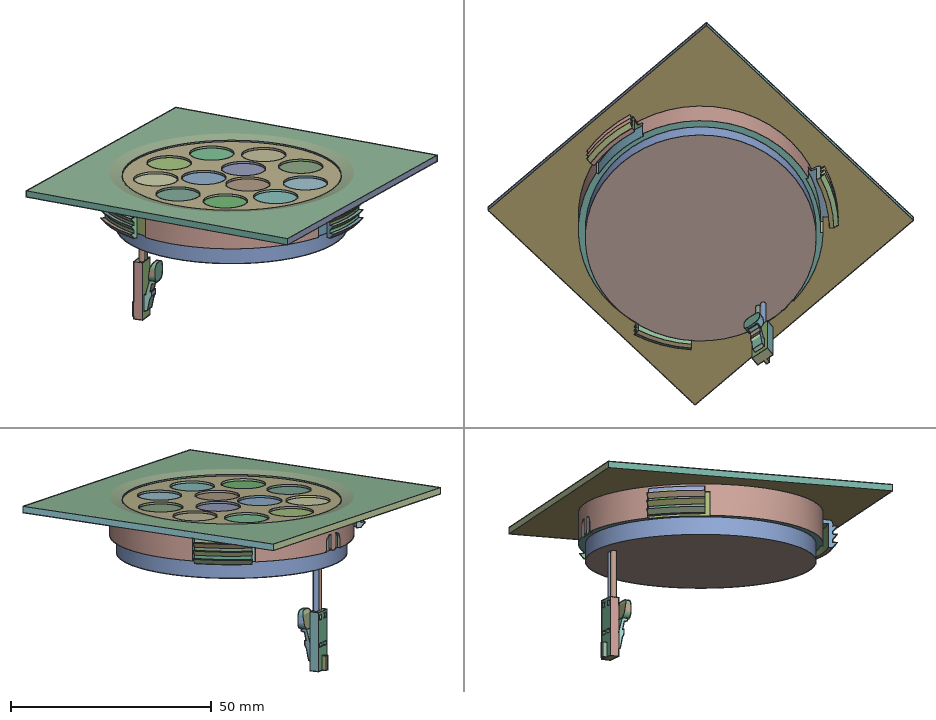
import cadquery as cq
PLATE_SIDE = 75
PLATE_THICKNESS = 1.65
OVERALL_HEIGHT = 41.3

HOUSING_RADIUS = 61.0 / 2
HOUSING_BOTTOM = -9.7
BASE_RADIUS = 57.5 / 2
BASE_BOTTOM = -14.2

RECESS_FLOOR_RADIUS = 54.6 / 2
CONE_DEPTH = 0.6
RECESS_DEPTH = 1.0
LENS_DIAMETER = 11.0
LENS_DEPTH = 0.5
LENS_START_ANGLE = 95
INNER_RING_RADIUS = 7.0
INNER_RING_COUNT = 3
OUTER_RING_RADIUS = 19.0
OUTER_RING_COUNT = 9

CLIP_COUNT = 3
CLIP_SWEEP = 25
CLIP_TOP = -2.6
CLIP_UNDERSIDE = -3.6
CLIP_ROOT_RADIUS = 29.8
CLIP_INNER_RADIUS = 32.0
CLIP_OUTER_RADIUS = 33.15
CLIP_CORNER_RADIUS = 1.05
TOOTH_TIP_RADIUS = 34.3
TOOTH_HEIGHT = 1.3
TOOTH_TOPS = (-4.2, -6.2, -8.3)
RELIEF_SWEEP = 30
RELIEF_FLOOR_RADIUS = 29.85

ARCH_WIDTH = 6.1
ARCH_TOP = -5.5
ARCH_CORNER_RADIUS = 1.9
TONGUE_WIDTH = 2.25
TONGUE_CORNER_RADIUS = 1.0

CONNECTOR_X = -24.6
CONNECTOR_Y = -2.1
CONNECTOR_TURN = 7
CONNECTOR_DEPTH = 2.4
CONNECTOR_WIDTH = 4.8
CONNECTOR_HEIGHT = 15.1
CONNECTOR_BOTTOM = -OVERALL_HEIGHT
CONNECTOR_TOP = CONNECTOR_BOTTOM + CONNECTOR_HEIGHT

WIRE_DIAMETER = 1.5
WIRE_OFFSET_X = 0.45
WIRE_OFFSET_Y = -0.2
WIRE_INSERTION = 2.25

WINDOW_DEPTH = 1.1
UPPER_WINDOW_WIDTH = 1.0
UPPER_WINDOW_HEIGHT = 1.3
UPPER_WINDOW_SPACING = 2.55
UPPER_WINDOW_DROP = 1.35
LOWER_WINDOW_WIDTH = 1.3
LOWER_WINDOW_HEIGHT = 1.0
LOWER_WINDOW_SPACING = 2.25
LOWER_WINDOW_DROP = 8.5
RIB_WIDTH = 1.0
RIB_HEIGHT = 3.75
RIB_PROJECTION = 1.1

LEVER_WIDTH = 2.85
PAD_WIDTH = CONNECTOR_WIDTH
PAD_HEIGHT = 4.9
PAD_PROJECTION = 3.4
PAD_CORNER_RADIUS = 1.65

ARM_OUTLINE = (
    (-0.4, 8.7),
    (0.4, 8.7),
    (1.4, 4.8),
    (2.9, 4.8),
    (2.9, 5.4),
    (2.0, 5.6),
    (1.6, 7.7),
    (1.95, 7.7),
    (1.95, 8.85),
    (1.5, 9.75),
    (0.9, 12.7),
    (0, 13.1),
    (-0.4, 13.1),
)
PAD_OUTLINE = (
    (1.35, PAD_HEIGHT),
    (1.95, 1.1),
    (2.4, 0),
    (PAD_PROJECTION, 0),
    (PAD_PROJECTION, PAD_HEIGHT),
)

OVERLAP = 0.75


def ring_sector(profile, sweep, middle_angle):
    """Sweep a radius-height profile about Z, centred on the given angle."""
    solid = profile.revolve(sweep, (0, 0, 0), (0, 1, 0))
    return solid.rotate((0, 0, 0), (0, 0, 1), middle_angle - sweep / 2)


def box_between(x_range, y_range, z_range):
    """Axis-aligned box given by its limits."""
    (x0, x1), (y0, y1), (z0, z1) = x_range, y_range, z_range
    return cq.Workplane("XY").box(x1 - x0, y1 - y0, z1 - z0, centered=False).translate((x0, y0, z0))


def make_housing():
    """Face plate with the stepped round housing below it."""
    plate = cq.Workplane("XY").rect(PLATE_SIDE, PLATE_SIDE).extrude(-PLATE_THICKNESS)
    drum = cq.Workplane("XY").circle(HOUSING_RADIUS).extrude(HOUSING_BOTTOM)
    base = cq.Workplane("XY").circle(BASE_RADIUS).extrude(BASE_BOTTOM)
    return plate.union(drum).union(base)


def make_recess():
    """Conical dish with a short straight wall down to a flat floor."""
    return (
        cq.Workplane("XZ")
        .moveTo(0, 0)
        .lineTo(HOUSING_RADIUS, 0)
        .lineTo(RECESS_FLOOR_RADIUS, -CONE_DEPTH)
        .lineTo(RECESS_FLOOR_RADIUS, -RECESS_DEPTH)
        .lineTo(0, -RECESS_DEPTH)
        .close()
        .revolve(360, (0, 0, 0), (0, 1, 0))
    )


def make_lens_pockets():
    """Two concentric rings of round pockets below the recess floor."""
    floor = cq.Workplane("XY", origin=(0, 0, -RECESS_DEPTH))
    rings = ((INNER_RING_RADIUS, INNER_RING_COUNT), (OUTER_RING_RADIUS, OUTER_RING_COUNT))
    pockets = cq.Workplane("XY")
    for radius, count in rings:
        ring = floor.polarArray(radius, LENS_START_ANGLE, 360, count)
        pockets = pockets.union(ring.circle(LENS_DIAMETER / 2).extrude(-LENS_DEPTH))
    return pockets


def make_relief(angle):
    """Shallow cut in the housing wall behind one clip."""
    corners = [
        (RELIEF_FLOOR_RADIUS, HOUSING_BOTTOM),
        (RELIEF_FLOOR_RADIUS, CLIP_UNDERSIDE),
        (CLIP_INNER_RADIUS, CLIP_UNDERSIDE),
        (CLIP_INNER_RADIUS, HOUSING_BOTTOM),
    ]
    profile = cq.Workplane("XZ").polyline(corners).close()
    return ring_sector(profile, RELIEF_SWEEP, angle)


def make_clip(angle):
    """Hooked clip whose outer face carries flat-topped teeth."""
    profile = (
        cq.Workplane("XZ")
        .moveTo(CLIP_ROOT_RADIUS, CLIP_UNDERSIDE)
        .lineTo(CLIP_ROOT_RADIUS, CLIP_TOP)
        .lineTo(CLIP_OUTER_RADIUS - CLIP_CORNER_RADIUS, CLIP_TOP)
        .tangentArcPoint((CLIP_CORNER_RADIUS, -CLIP_CORNER_RADIUS))
    )
    for tooth_top in TOOTH_TOPS:
        profile = (
            profile.lineTo(CLIP_OUTER_RADIUS, tooth_top)
            .lineTo(TOOTH_TIP_RADIUS, tooth_top)
            .lineTo(CLIP_OUTER_RADIUS, tooth_top - TOOTH_HEIGHT)
        )
    profile = (
        profile.lineTo(CLIP_OUTER_RADIUS, HOUSING_BOTTOM)
        .lineTo(CLIP_INNER_RADIUS, HOUSING_BOTTOM)
        .lineTo(CLIP_INNER_RADIUS, CLIP_UNDERSIDE)
        .close()
    )
    return ring_sector(profile, CLIP_SWEEP, angle)


def make_arch_cut():
    """Arched recess around a tongue, as deep as the clip reliefs."""
    outer_radius = HOUSING_RADIUS + OVERLAP
    depth_range = (-outer_radius, 0)
    half_arch = ARCH_WIDTH / 2
    half_tongue = TONGUE_WIDTH / 2
    arch = box_between(depth_range, (-half_arch, half_arch), (HOUSING_BOTTOM, ARCH_TOP))
    arch = arch.edges("|X and >Z").fillet(ARCH_CORNER_RADIUS)
    tongue = box_between(depth_range, (-half_tongue, half_tongue), (HOUSING_BOTTOM, ARCH_TOP))
    tongue = tongue.edges("|X and <Z").fillet(TONGUE_CORNER_RADIUS)
    wall = cq.Workplane("XY").circle(outer_radius).circle(RELIEF_FLOOR_RADIUS).extrude(HOUSING_BOTTOM)
    return arch.cut(tongue).intersect(wall)


def make_windows(width, height, spacing, drop):
    """Pair of rectangular windows at a drop below the connector top."""
    return (
        cq.Workplane("YZ", origin=(-CONNECTOR_DEPTH / 2, 0, CONNECTOR_TOP - drop))
        .pushPoints([(-spacing / 2, 0), (spacing / 2, 0)])
        .rect(width, height)
        .extrude(WINDOW_DEPTH)
    )


def lever_plate(outline, width):
    """Prism with a lever outline, centred on the connector's middle plane."""
    points = [(CONNECTOR_DEPTH / 2 + out, CONNECTOR_TOP - drop) for out, drop in outline]
    return cq.Workplane("XZ").polyline(points).close().extrude(width / 2, both=True)


def make_lever():
    """Leaning latch arm that ends in a thumb pad with rounded corners."""
    pad_envelope = box_between(
        (0, CONNECTOR_DEPTH / 2 + PAD_PROJECTION),
        (-PAD_WIDTH / 2, PAD_WIDTH / 2),
        (CONNECTOR_TOP - PAD_HEIGHT, CONNECTOR_TOP),
    )
    pad_envelope = pad_envelope.edges("|X").fillet(PAD_CORNER_RADIUS)
    pad = lever_plate(PAD_OUTLINE, PAD_WIDTH).intersect(pad_envelope)
    return lever_plate(ARM_OUTLINE, LEVER_WIDTH).union(pad)


def make_wires():
    """Two touching wires reaching into the connector."""
    wire_bottom = CONNECTOR_TOP - WIRE_INSERTION
    wire_top = BASE_BOTTOM + OVERLAP
    return (
        cq.Workplane("XY", origin=(WIRE_OFFSET_X, WIRE_OFFSET_Y, wire_bottom))
        .pushPoints([(0, -WIRE_DIAMETER / 2), (0, WIRE_DIAMETER / 2)])
        .circle(WIRE_DIAMETER / 2)
        .extrude(wire_top - wire_bottom)
    )


def make_connector():
    """Wired connector around its own axis, turned and moved into place."""
    half_depth = CONNECTOR_DEPTH / 2
    half_width = CONNECTOR_WIDTH / 2
    body = box_between(
        (-half_depth, half_depth), (-half_width, half_width), (CONNECTOR_BOTTOM, CONNECTOR_TOP)
    )
    rib = box_between(
        (-half_depth - RIB_PROJECTION, 0),
        (-RIB_WIDTH / 2, RIB_WIDTH / 2),
        (CONNECTOR_BOTTOM, CONNECTOR_BOTTOM + RIB_HEIGHT),
    )
    upper_windows = make_windows(
        UPPER_WINDOW_WIDTH, UPPER_WINDOW_HEIGHT, UPPER_WINDOW_SPACING, UPPER_WINDOW_DROP
    )
    lower_windows = make_windows(
        LOWER_WINDOW_WIDTH, LOWER_WINDOW_HEIGHT, LOWER_WINDOW_SPACING, LOWER_WINDOW_DROP
    )
    connector = body.cut(upper_windows).cut(lower_windows)
    connector = connector.union(rib).union(make_lever()).union(make_wires())
    turned = connector.rotate((0, 0, 0), (0, 0, 1), CONNECTOR_TURN)
    return turned.translate((CONNECTOR_X, CONNECTOR_Y, 0))


result = make_housing().cut(make_recess()).cut(make_lens_pockets()).cut(make_arch_cut())
for index in range(CLIP_COUNT):
    clip_angle = index * 360 / CLIP_COUNT
    result = result.cut(make_relief(clip_angle)).union(make_clip(clip_angle))
result = result.union(make_connector())